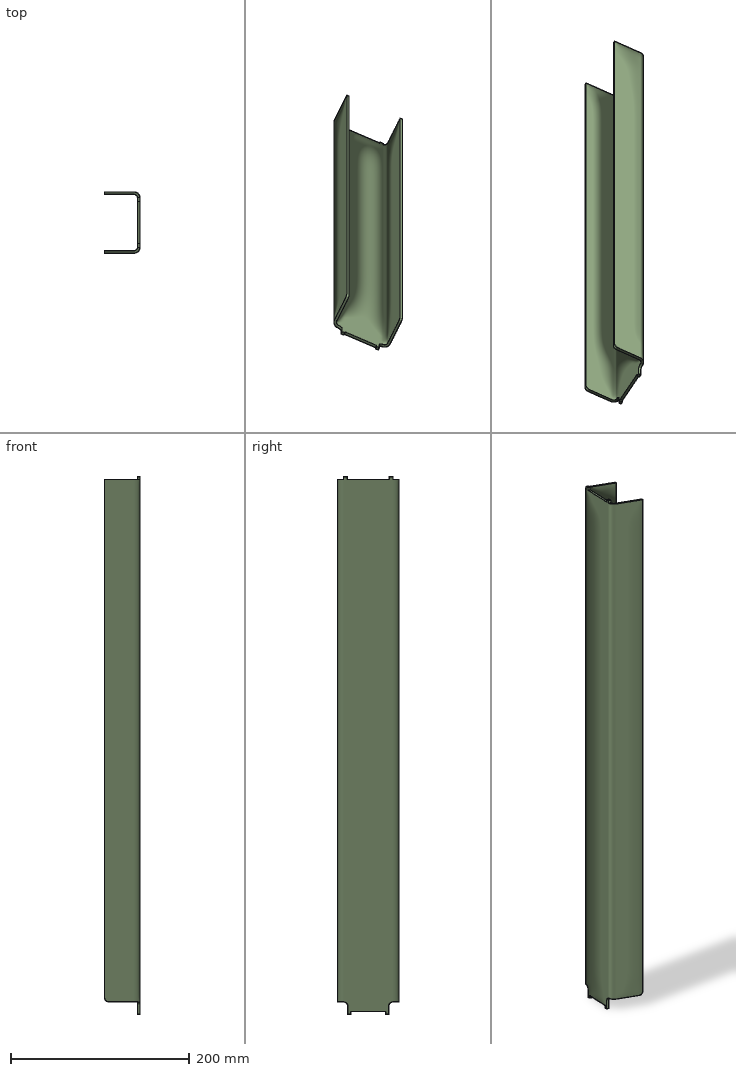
import cadquery as cq

depth = 40.0
width = 69.0
thickness = 3.0
outer_bend_radius = 7.0
inner_bend_radius = outer_bend_radius - thickness

overall_height = 603.0
top_nub_height = 3.0
tongue_length = 14.0
foot_height = 3.0
flange_bottom = tongue_length
flange_top = overall_height - top_nub_height

tongue_half_width = 23.0
foot_width = 3.4
nub_outer = 28.0
nub_inner = 23.5

flange_corner_radius = 5.0
tongue_root_radius = 5.0


def make_channel():
    """U-shaped bent sheet between the flange bottom and the flange top."""
    length = flange_top - flange_bottom
    outer = (
        cq.Workplane("XY", origin=(depth / 2, 0, flange_bottom))
        .rect(depth, width)
        .extrude(length)
        .edges("|Z and >X")
        .fillet(outer_bend_radius)
    )
    inner_depth = depth - thickness
    inner = (
        cq.Workplane("XY", origin=(inner_depth / 2, 0, flange_bottom))
        .rect(inner_depth, width - 2 * thickness)
        .extrude(length)
        .edges("|Z and >X")
        .fillet(inner_bend_radius)
    )
    return outer.cut(inner)


def round_flange_corners(channel):
    """Round the free lower corner of both flanges."""
    return channel.edges("|Y and <X and <Z").fillet(flange_corner_radius)


def web_plate(outline):
    """Extrude a closed (Y, Z) outline through the web thickness."""
    return outline.extrude(thickness)


def web_plane():
    """Workplane on the inner web face, with local axes along Y and Z."""
    return cq.Workplane("YZ", origin=(depth - thickness, 0, 0))


def make_tongue():
    """Web tongue below the flanges: concave root fillets and two end feet."""
    root_half_width = tongue_half_width + tongue_root_radius
    root_bottom = flange_bottom - tongue_root_radius
    foot_inner = tongue_half_width - foot_width
    return web_plate(
        web_plane()
        .moveTo(-root_half_width, flange_bottom)
        .radiusArc((-tongue_half_width, root_bottom), tongue_root_radius)
        .lineTo(-tongue_half_width, 0)
        .lineTo(-foot_inner, 0)
        .lineTo(-foot_inner, foot_height)
        .lineTo(foot_inner, foot_height)
        .lineTo(foot_inner, 0)
        .lineTo(tongue_half_width, 0)
        .lineTo(tongue_half_width, root_bottom)
        .radiusArc((root_half_width, flange_bottom), tongue_root_radius)
        .close()
    )


def make_top_nubs():
    """Two low nubs on the top edge of the web, next to the bends."""
    nub_centre_y = (nub_outer + nub_inner) / 2
    nub_centre_z = flange_top + top_nub_height / 2
    return web_plate(
        web_plane()
        .pushPoints([(side * nub_centre_y, nub_centre_z) for side in (-1, 1)])
        .rect(nub_outer - nub_inner, top_nub_height)
    )


channel = round_flange_corners(make_channel())
result = channel.union(make_tongue()).union(make_top_nubs())